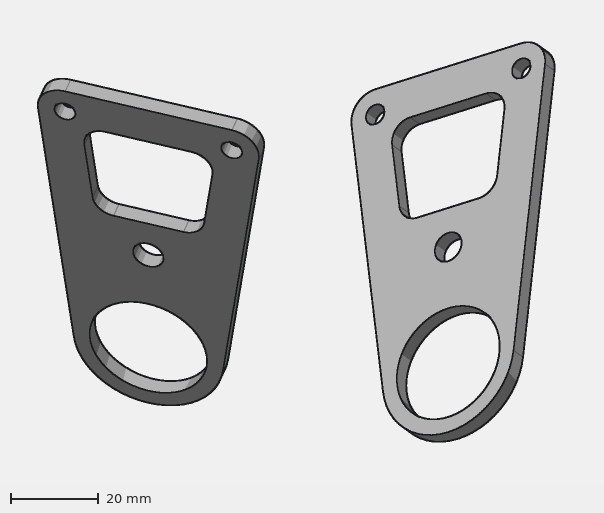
import cadquery as cq
import math

height = 94.6
width = 53.0
thickness = 4.0
ring_radius = 18.0
ring_hole_diameter = 28.1
corner_radius = 6.5
corner_hole_diameter = 5.0
middle_hole_diameter = 7.3
middle_hole_z = 29.9

window_bottom_z = 40.0
window_top_z = 66.5
window_bottom_width = 25.6
window_corner_radius = 5.0

corner_x = width / 2 - corner_radius
corner_z = height - ring_radius - corner_radius
top_z = corner_z + corner_radius

centre_distance = math.hypot(corner_x, corner_z)
side_angle = math.atan2(corner_z, corner_x) - math.acos((ring_radius - corner_radius) / centre_distance)
side_slope = -math.tan(side_angle)

window_top_width = window_bottom_width + 2 * side_slope * (window_top_z - window_bottom_z)


def front_sketch():
    return cq.Workplane("XZ").workplane(offset=-thickness / 2)


def point_on_arc(centre_x, centre_z, radius, angle):
    return (centre_x + radius * math.cos(angle), centre_z + radius * math.sin(angle))


def mirrored(point):
    return (-point[0], point[1])


def make_plate():
    ring_tangent = point_on_arc(0, 0, ring_radius, side_angle)
    corner_tangent = point_on_arc(corner_x, corner_z, corner_radius, side_angle)
    corner_middle = point_on_arc(corner_x, corner_z, corner_radius, (side_angle + math.pi / 2) / 2)
    corner_top = (corner_x, top_z)
    return (
        front_sketch()
        .moveTo(*ring_tangent)
        .lineTo(*corner_tangent)
        .threePointArc(corner_middle, corner_top)
        .lineTo(*mirrored(corner_top))
        .threePointArc(mirrored(corner_middle), mirrored(corner_tangent))
        .lineTo(*mirrored(ring_tangent))
        .threePointArc((0, -ring_radius), ring_tangent)
        .close()
        .extrude(thickness)
    )


def make_hole(x, z, diameter):
    return front_sketch().center(x, z).circle(diameter / 2).extrude(thickness)


def make_window():
    return (
        front_sketch()
        .polyline([
            (-window_bottom_width / 2, window_bottom_z),
            (window_bottom_width / 2, window_bottom_z),
            (window_top_width / 2, window_top_z),
            (-window_top_width / 2, window_top_z),
        ])
        .close()
        .extrude(thickness)
        .edges("|Y")
        .fillet(window_corner_radius)
    )


holes = [
    (0, 0, ring_hole_diameter),
    (0, middle_hole_z, middle_hole_diameter),
    (-corner_x, corner_z, corner_hole_diameter),
    (corner_x, corner_z, corner_hole_diameter),
]

result = make_plate().cut(make_window())
for x, z, diameter in holes:
    result = result.cut(make_hole(x, z, diameter))